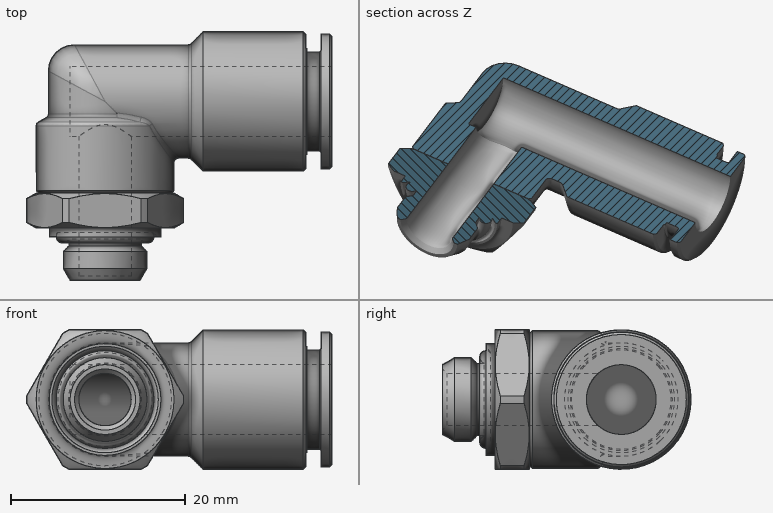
import cadquery as cq
import math


tube_radius = 13.0 / 2
tube_bore_radius = 8.0 / 2
corner_radius = 3.0
blend_radius = 0.5
ball_offset = tube_radius - corner_radius
corner_reach = 2 * tube_radius

socket_radius = 16.0 / 2
socket_end = 23.0
socket_end_chamfer = 0.3
socket_cone_start = 9.75
socket_cone_end = socket_cone_start + socket_radius - tube_radius

lip_radius = 6.1
lip_length = 0.15
lip_end = socket_end + lip_length
sleeve_radius = 11.4 / 2
sleeve_root_chamfer = 0.15
flange_radius = 15.5 / 2
flange_start = 24.75
flange_end = 26.0
flange_chamfer = 0.3

boss_radius = 15.8 / 2
shoulder_depth = 1.7
shoulder_angle = math.radians(30)
boss_top = shoulder_depth + (boss_radius - tube_radius) * math.tan(shoulder_angle)
boss_end_chamfer = 0.3
joint_depth = 10.5

hex_across_flats = 16.0
hex_corner_radius = 18.0 / 2
hex_face_radius = 15.8 / 2
hex_chamfer_angle = math.radians(30)
hex_height = 4.0
hex_end = joint_depth + hex_height
collar_radius = 12.8 / 2
collar_height = 1.0
collar_end = hex_end + collar_height
recess_radius = 6.1
neck_radius = 8.3 / 2
thread_radius = 9.6 / 2
thread_start = 17.2
tip_radius = 8.0 / 2
tip_end = 20.5
tip_taper_angle = math.radians(30)
thread_end = tip_end - (thread_radius - tip_radius) / math.tan(tip_taper_angle)
stud_bore_radius = 6.0 / 2
stud_bore_chamfer = 0.5
ring_outer_radius = 11.2 / 2
ring_section_radius = (ring_outer_radius - neck_radius) / 2
ring_centre_radius = ring_outer_radius - ring_section_radius
ring_recess_angle = -45
ring_neck_angle = 160


def turn_about_x(points):
    """Revolve (x, radius) points about the X axis."""
    return cq.Workplane("XY").polyline(points).close().revolve(360, (0, 0, 0), (1, 0, 0))


def turn_about_y(points):
    """Revolve (radius, depth) points about the Y axis; depth runs toward -Y."""
    outline = [(radius, -depth) for radius, depth in points]
    return cq.Workplane("XY").polyline(outline).close().revolve(360, (0, 0, 0), (0, 1, 0))


def stud_axis_cylinder(radius, start, end):
    return turn_about_y([(0, start), (radius, start), (radius, end), (0, end)])


def vertical_prism(points):
    """Prism along Z, taller than the elbow on both sides."""
    return cq.Workplane("XY").polyline(points).close().extrude(socket_radius + 1, both=True)


def make_pipe_arm():
    """Tube, socket and release sleeve along X, running past the corner on the -X side."""
    arm = turn_about_x([
        (-corner_reach, 0),
        (-corner_reach, tube_radius),
        (socket_cone_start, tube_radius),
        (socket_cone_end, socket_radius),
        (socket_end - socket_end_chamfer, socket_radius),
        (socket_end, socket_radius - socket_end_chamfer),
        (socket_end, lip_radius),
        (lip_end, lip_radius),
        (lip_end, sleeve_radius),
        (flange_start - sleeve_root_chamfer, sleeve_radius),
        (flange_start, sleeve_radius + sleeve_root_chamfer),
        (flange_start, flange_radius),
        (flange_end - flange_chamfer, flange_radius),
        (flange_end, flange_radius - flange_chamfer),
        (flange_end, 0),
    ])
    slack = 0.1
    cone_root = cq.selectors.BoxSelector(
        (socket_cone_start - slack, -slack, -slack),
        (socket_cone_start + slack, slack, slack),
    )
    return arm.edges(cone_root).fillet(blend_radius)


def make_corner_piece():
    """Solid swept by a ball of the corner radius that rolls inside both tubes.

    The ball's centre follows half an ellipse in the 45 degree mitre plane. Half a disc swept
    along that ellipse gives the skin, and an elliptical core fills what lies inside it.
    """
    half_width = math.sqrt(2) * ball_offset
    mitre_plane = cq.Plane(origin=(0, 0, 0), xDir=(-1, 1, 0), normal=(1, 1, 0))
    path = cq.Workplane(mitre_plane).ellipseArc(half_width, ball_offset, -90, 90, startAtCurrent=False)
    start_plane = cq.Plane(origin=(0, 0, -ball_offset), xDir=(1, 1, 0), normal=(-1, 1, 0))
    half_disc = (
        cq.Workplane(start_plane)
        .moveTo(-corner_radius, 0)
        .threePointArc((0, corner_radius), (corner_radius, 0))
        .close()
    )
    skin = half_disc.sweep(path)
    core = cq.Workplane(mitre_plane).ellipse(half_width, ball_offset).extrude(corner_radius, both=True)
    return core.union(skin)


def make_elbow_tube():
    """Pipe arm and stud tube joined by the rounded corner.

    The rolling ball touches each tube along the side of a wedge, so that wedge belongs to the
    corner piece and the two tubes share the rest.
    """
    reach = 2 * flange_end
    touch = reach * ball_offset / tube_radius
    origin = (0, 0)
    inner_mitre = (reach, -reach)
    pipe_touch = (-touch, reach)
    stud_touch = (-reach, touch)
    pipe_side = vertical_prism([origin, pipe_touch, (reach, reach), inner_mitre])
    stud_side = vertical_prism([origin, inner_mitre, (-reach, -reach), stud_touch])
    corner_side = vertical_prism([origin, pipe_touch, (-reach, reach), stud_touch])
    stud_tube = stud_axis_cylinder(tube_radius, -corner_reach, boss_top)
    return (
        make_pipe_arm().intersect(pipe_side)
        .union(stud_tube.intersect(stud_side))
        .union(make_corner_piece().intersect(corner_side))
    )


def make_boss():
    """Swivel boss with a conical shoulder."""
    return turn_about_y([
        (0, shoulder_depth),
        (tube_radius, shoulder_depth),
        (boss_radius, boss_top),
        (boss_radius, joint_depth - boss_end_chamfer),
        (boss_radius - boss_end_chamfer, joint_depth),
        (0, joint_depth),
    ])


def make_elbow():
    """Elbow with its boss, the edges of the shoulder blended, and both bores."""
    slack = 0.1
    shoulder_edges = cq.selectors.BoxSelector(
        (-boss_radius, -tube_radius, -boss_radius),
        (boss_radius, -shoulder_depth + slack, boss_radius),
    )
    body = make_elbow_tube().union(make_boss())
    body = body.edges(shoulder_edges).fillet(blend_radius)
    pipe_bore = turn_about_x([
        (-tube_bore_radius, 0),
        (-tube_bore_radius, tube_bore_radius),
        (flange_end, tube_bore_radius),
        (flange_end, 0),
    ])
    stud_bore = stud_axis_cylinder(stud_bore_radius, 0, joint_depth)
    return body.cut(pipe_bore).cut(stud_bore)


def make_hexagon():
    """Hexagon with its corners turned down, chamfered on both faces."""
    across_corners = hex_across_flats / math.cos(math.radians(30))
    prism = (
        cq.Workplane("XZ")
        .workplane(offset=joint_depth)
        .polygon(6, across_corners)
        .extrude(hex_height)
    )
    chamfer_depth = (hex_corner_radius - hex_face_radius) * math.tan(hex_chamfer_angle)
    envelope = turn_about_y([
        (0, joint_depth),
        (hex_face_radius, joint_depth),
        (hex_corner_radius, joint_depth + chamfer_depth),
        (hex_corner_radius, hex_end - chamfer_depth),
        (hex_face_radius, hex_end),
        (0, hex_end),
    ])
    return prism.intersect(envelope)


def ring_section_point(angle):
    """Point on the sealing ring's round section; 0 degrees faces outward, 90 faces the tip."""
    turn = math.radians(angle)
    return (
        ring_centre_radius + ring_section_radius * math.cos(turn),
        -(collar_end + ring_section_radius * math.sin(turn)),
    )


def make_stud():
    """Hexagon, collar with sealing ring, and threaded end with its through bore."""
    ring_foot = ring_section_point(ring_neck_angle)
    shank_outline = (
        cq.Workplane("XY")
        .moveTo(0, -hex_end)
        .lineTo(collar_radius, -hex_end)
        .lineTo(collar_radius, -collar_end)
        .lineTo(recess_radius, -collar_end)
        .lineTo(*ring_section_point(ring_recess_angle))
        .threePointArc(ring_section_point(90), ring_foot)
        .lineTo(neck_radius, ring_foot[1])
        .lineTo(neck_radius, -(thread_start - (thread_radius - neck_radius)))
        .lineTo(thread_radius, -thread_start)
        .lineTo(thread_radius, -thread_end)
        .lineTo(tip_radius, -tip_end)
        .lineTo(0, -tip_end)
        .close()
    )
    shank = shank_outline.revolve(360, (0, 0, 0), (0, 1, 0))
    bore = turn_about_y([
        (0, joint_depth),
        (stud_bore_radius, joint_depth),
        (stud_bore_radius, tip_end - stud_bore_chamfer),
        (stud_bore_radius + stud_bore_chamfer, tip_end),
        (0, tip_end),
    ])
    return make_hexagon().union(shank).cut(bore)


elbow = make_elbow()
stud = make_stud()
result = cq.Compound.makeCompound([elbow.val(), stud.val()])